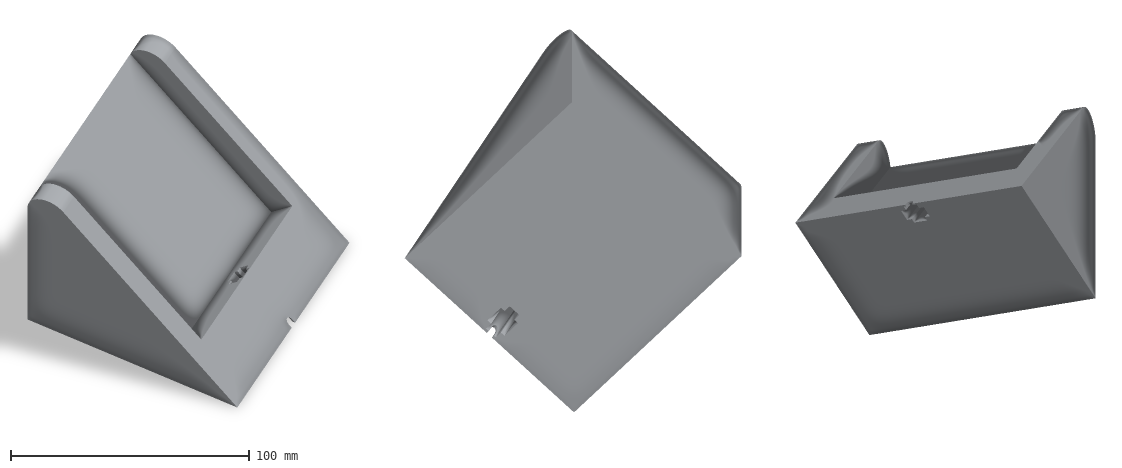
import cadquery as cq
import math

side = 100.0
width = 100.0
top_radius = 10.0

slope_length = side * math.sqrt(2)
pocket_width = 81.0
pocket_length = 110.0
pocket_depth = 14.2

plug_long = 10.0
plug_short = 5.7
plug_center_depth = 5.9
plug_offset = 0.35

groove_width = 3.0
groove_height = 3.0

slope_plane = cq.Plane(origin=(0, 0, side), xDir=(1, 0, -1), normal=(1, 0, 1))


def wedge():
    triangle = [(0, 0), (side, 0), (0, side)]
    body = cq.Workplane("XZ").polyline(triangle).close().extrude(width / 2, both=True)
    return body.edges("|Y and >Z").fillet(top_radius)


def slope_block(start, end, block_width, top_depth, height, offset=0.0):
    """Block between two distances down the slope from the apex, its top face top_depth below the slope."""
    return (
        cq.Workplane(slope_plane)
        .workplane(offset=-top_depth)
        .center((start + end) / 2, offset)
        .rect(end - start, block_width)
        .extrude(-height)
    )


def pocket():
    return slope_block(0, pocket_length, pocket_width, 0, pocket_depth)


def plug_arm(arm_width, arm_height):
    top_depth = plug_center_depth - arm_height / 2
    return slope_block(pocket_length, slope_length, arm_width, top_depth, arm_height, plug_offset)


def cable_groove():
    start = side - (plug_center_depth + plug_long / 2) * math.sqrt(2)
    radius = groove_width / 2
    return (
        cq.Workplane("YZ", origin=(start, 0, 0))
        .moveTo(-radius, 0)
        .lineTo(-radius, groove_height - radius)
        .threePointArc((0, groove_height), (radius, groove_height - radius))
        .lineTo(radius, 0)
        .close()
        .extrude(side - start)
    )


result = (
    wedge()
    .cut(pocket())
    .cut(plug_arm(plug_short, plug_long))
    .cut(plug_arm(plug_long, plug_short))
    .cut(cable_groove())
)